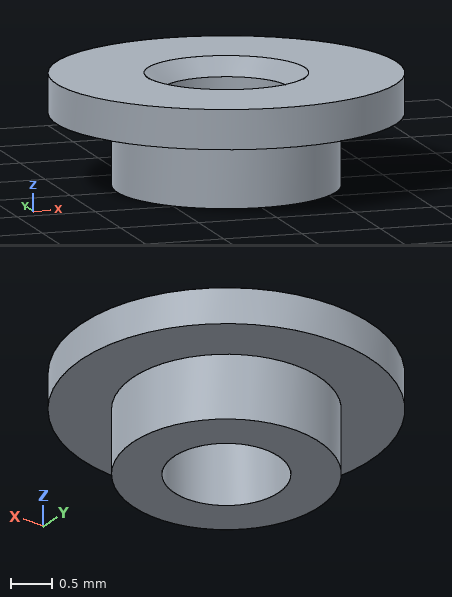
import cadquery as cq

flange_diameter = 4.35
flange_thickness = 0.5
sleeve_diameter = 2.8
total_height = 1.4
bore_diameter = 1.57
countersink_diameter = 2.005

sleeve_length = total_height - flange_thickness
countersink_depth = (countersink_diameter - bore_diameter) / 2

sleeve = cq.Workplane("XY").circle(sleeve_diameter / 2).extrude(sleeve_length)
flange = (
    cq.Workplane("XY")
    .workplane(offset=sleeve_length)
    .circle(flange_diameter / 2)
    .extrude(flange_thickness)
)
body = sleeve.union(flange)

bored = body.faces(">Z").workplane().hole(bore_diameter)
bore_rim = cq.selectors.RadiusNthSelector(0)
result = bored.faces(">Z").edges(bore_rim).chamfer(countersink_depth)